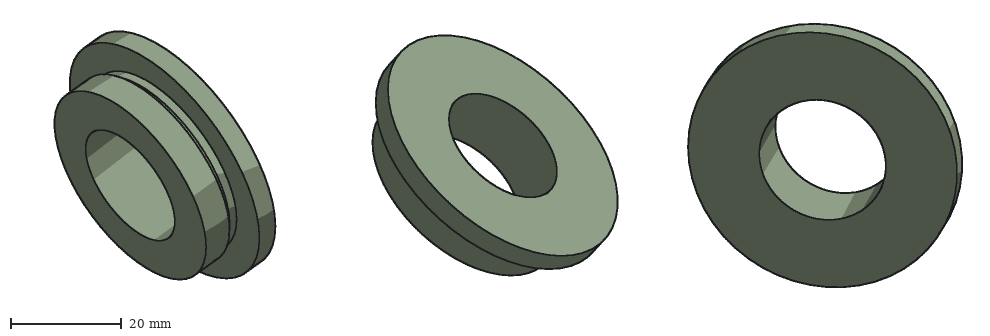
import cadquery as cq

flange_diameter = 50.0
hub_diameter = 40.0
groove_diameter = 38.0
bore_diameter = 23.5

total_length = 12.5
flange_thickness = 4.0
groove_width = 1.7
groove_slope = (hub_diameter - groove_diameter) / 2

flange_radius = flange_diameter / 2
hub_radius = hub_diameter / 2
groove_radius = groove_diameter / 2
bore_radius = bore_diameter / 2

front_face = -total_length / 2
back_face = total_length / 2
flange_front = back_face - flange_thickness
slope_start = flange_front - groove_width
slope_end = slope_start - groove_slope

half_section = [
    (bore_radius, front_face),
    (hub_radius, front_face),
    (hub_radius, slope_end),
    (groove_radius, slope_start),
    (groove_radius, flange_front),
    (flange_radius, flange_front),
    (flange_radius, back_face),
    (bore_radius, back_face),
]

result = (
    cq.Workplane("XY")
    .polyline(half_section)
    .close()
    .revolve(360, (0, 0, 0), (0, 1, 0))
)